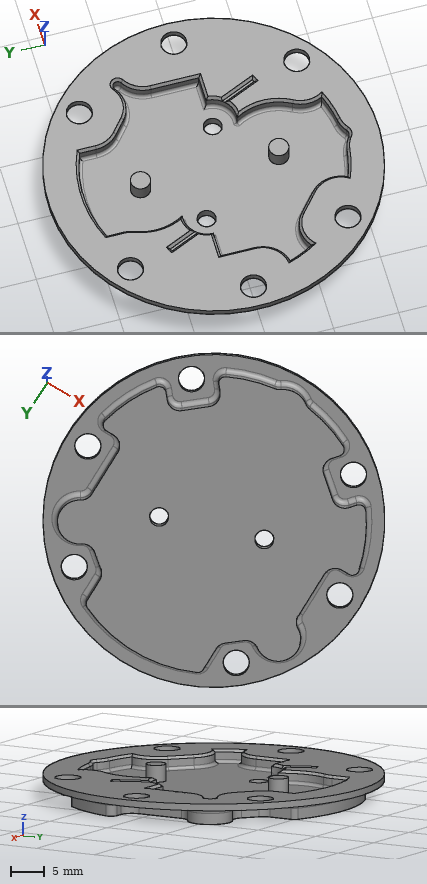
import cadquery as cq
import math

FLANGE_DIAMETER = 50.5
FLANGE_THICKNESS = 1.0
BODY_HEIGHT = 2.45
POCKET_DEPTH = 2.0
POST_RISE = 0.5
FLOOR_OVERLAP = 0.5

RIM_CHAMFER = 0.4
FLOOR_FILLET = 0.5
BODY_FILLET = 0.8
BODY_CORNER_RADIUS = 1.0
WALL = 2.65

BOLT_CIRCLE_RADIUS = 21.75
BOLT_HOLE_DIAMETER = 3.85
BOLT_ANGLE = 50.0
BOLT_ANGLES = [0, BOLT_ANGLE, 180 - BOLT_ANGLE, 180, 180 + BOLT_ANGLE, 360 - BOLT_ANGLE]

PUMP_CENTRE_Y = 0.6
POST_SPACING = 21.2
POST_DIAMETER = 3.0
PORT_OFFSET_X = 7.5
PORT_OFFSET_Y = 2.6
PORT_DIAMETER = 2.8
PORT_POCKET_RADIUS = 3.65

POCKET_RADIUS = 19.9
COVE_RADIUS = 4.55
COVE_HALF_WIDTH = 6.55
NECK_HALF_WIDTH = 7.4
UPPER_COVE_X = 14.1
UPPER_COVE_Y = 14.2
UPPER_SIDE_Y = 5.35
FINGER_RADIUS = 0.7
NOSE_RADIUS = 1.0
NOSE_Y = -19.75

GROOVE_FLOOR_WIDTH = 0.4
GROOVE_DEPTH = 0.4
GROOVE_ANGLE = 24.0
GROOVE_LENGTH = 7.05
LOWER_GROOVE_END = (12.75, -9.95)
UPPER_GROOVE_END = (-12.4, 10.3)

UPPER_POST = (0, PUMP_CENTRE_Y + POST_SPACING / 2)
LOWER_POST = (0, PUMP_CENTRE_Y - POST_SPACING / 2)
LEFT_PORT = (-PORT_OFFSET_X, PUMP_CENTRE_Y + PORT_OFFSET_Y)
RIGHT_PORT = (PORT_OFFSET_X, PUMP_CENTRE_Y - PORT_OFFSET_Y)


def toward(start, target, distance):
    """Point at the given distance from start in the direction of target."""
    length = math.dist(start, target)
    return tuple(s + (t - s) * distance / length for s, t in zip(start, target))


def circles_meet(centre_a, radius_a, centre_b, radius_b):
    """Crossing of two circles that lies to the left of the direction a -> b."""
    span = math.dist(centre_a, centre_b)
    along = (span**2 + radius_a**2 - radius_b**2) / (2 * span)
    aside = math.sqrt(radius_a**2 - along**2)
    ux = (centre_b[0] - centre_a[0]) / span
    uy = (centre_b[1] - centre_a[1]) / span
    return (centre_a[0] + along * ux - aside * uy, centre_a[1] + along * uy + aside * ux)


def backward(path):
    return [(kind, end, start, centre) for kind, start, end, centre in reversed(path)]


def mirrored(path):
    """Path mirrored in the YZ plane and walked backward."""
    flipped = []
    for kind, *points in backward(path):
        flipped.append((kind, *[(-x, y) for x, y in points]))
    return flipped


def line(start, end):
    return ("line", start, end, (0, 0))


def arc(start, end, centre):
    """Arc of less than half a turn about centre."""
    return ("arc", start, end, centre)


def closed_outline(path, z):
    outline = cq.Workplane("XY").workplane(offset=z).moveTo(*path[0][1])
    for kind, start, end, centre in path:
        if kind == "line":
            outline = outline.lineTo(*end)
        else:
            chord_middle = ((start[0] + end[0]) / 2, (start[1] + end[1]) / 2)
            outline = outline.threePointArc(toward(centre, chord_middle, math.dist(centre, start)), end)
    return outline.close()


COVE_INSET = COVE_HALF_WIDTH - COVE_RADIUS
SIDE_WALL_X = BOLT_CIRCLE_RADIUS - COVE_HALF_WIDTH
SIDE_CENTRE_X = SIDE_WALL_X + COVE_RADIUS

UPPER_COVE_CENTRE = (UPPER_COVE_X, UPPER_COVE_Y)
UPPER_SIDE_CENTRE = (SIDE_CENTRE_X, UPPER_SIDE_Y)
FINGER_CENTRE = circles_meet(
    UPPER_COVE_CENTRE, COVE_RADIUS + FINGER_RADIUS, UPPER_SIDE_CENTRE, COVE_RADIUS + FINGER_RADIUS
)


def bolt_frame(angle, radial, sideways):
    """Point set out from the ray through a bolt hole; sideways is counterclockwise from that ray."""
    cos_angle = math.cos(math.radians(angle))
    sin_angle = math.sin(math.radians(angle))
    return (radial * cos_angle - sideways * sin_angle, radial * sin_angle + sideways * cos_angle)


COVE_CENTRE_RADIAL = BOLT_CIRCLE_RADIUS - COVE_INSET
LOWER_NECK_CENTRE = bolt_frame(-BOLT_ANGLE, COVE_CENTRE_RADIAL, -COVE_INSET)

CHAMBER_RADIUS = math.dist(LOWER_NECK_CENTRE, LOWER_POST) - COVE_RADIUS
NECK_CENTRE_X = NECK_HALF_WIDTH + COVE_RADIUS
NECK_CENTRE = (
    NECK_CENTRE_X,
    UPPER_POST[1] + math.sqrt((CHAMBER_RADIUS + COVE_RADIUS) ** 2 - NECK_CENTRE_X**2),
)


def top_corner(offset):
    x = NECK_HALF_WIDTH + offset
    return (x, math.sqrt((POCKET_RADIUS + offset) ** 2 - x**2))


def cove_flank(offset, angle, side):
    """From the floor of a bolt cove out to the outline circle; side +1 is counterclockwise of the bolt."""
    radius = COVE_RADIUS - offset
    rim_radius = POCKET_RADIUS + offset
    centre = bolt_frame(angle, COVE_CENTRE_RADIAL, side * COVE_INSET)
    floor_end = bolt_frame(angle, COVE_CENTRE_RADIAL - radius, side * COVE_INSET)
    half_width = COVE_INSET + radius
    corner_radial = math.sqrt(rim_radius**2 - half_width**2)
    if corner_radial < COVE_CENTRE_RADIAL:
        crossing = circles_meet((0, 0), rim_radius, (COVE_CENTRE_RADIAL, COVE_INSET), radius)
        return [arc(floor_end, bolt_frame(angle, crossing[0], side * crossing[1]), centre)]
    flank_start = bolt_frame(angle, COVE_CENTRE_RADIAL, side * half_width)
    corner = bolt_frame(angle, corner_radial, side * half_width)
    return [arc(floor_end, flank_start, centre), line(flank_start, corner)]


def upper_neck(offset):
    """From the top corner down the neck wall to the tangent line under the upper bolt hole."""
    radius = COVE_RADIUS - offset
    neck_wall_end = (NECK_CENTRE[0] - radius, NECK_CENTRE[1])
    run = math.dist(NECK_CENTRE, UPPER_COVE_CENTRE)
    nx = (UPPER_COVE_CENTRE[1] - NECK_CENTRE[1]) / run
    ny = -(UPPER_COVE_CENTRE[0] - NECK_CENTRE[0]) / run
    slope_start = (NECK_CENTRE[0] + radius * nx, NECK_CENTRE[1] + radius * ny)
    slope_end = (UPPER_COVE_CENTRE[0] + radius * nx, UPPER_COVE_CENTRE[1] + radius * ny)
    return [
        line(top_corner(offset), neck_wall_end),
        arc(neck_wall_end, slope_start, NECK_CENTRE),
        line(slope_start, slope_end),
    ]


def finger(offset):
    """From the upper cove round the finger tip to the top of the side wall."""
    radius = COVE_RADIUS - offset
    tip_radius = FINGER_RADIUS + offset
    slope_end = upper_neck(offset)[-1][2]
    tip_start = toward(FINGER_CENTRE, UPPER_COVE_CENTRE, tip_radius)
    tip_end = toward(FINGER_CENTRE, UPPER_SIDE_CENTRE, tip_radius)
    valley = tuple((a + b) / 2 for a, b in zip(UPPER_COVE_CENTRE, UPPER_SIDE_CENTRE))
    tip = toward(FINGER_CENTRE, valley, -tip_radius)
    return [
        arc(slope_end, tip_start, UPPER_COVE_CENTRE),
        arc(tip_start, tip, FINGER_CENTRE),
        arc(tip, tip_end, FINGER_CENTRE),
        arc(tip_end, (UPPER_SIDE_CENTRE[0] - radius, UPPER_SIDE_CENTRE[1]), UPPER_SIDE_CENTRE),
    ]


def lower_side(offset):
    """From the side wall round the side cove, the lobe and the lower cove, to the lower neck arc."""
    side_flank = cove_flank(offset, 0, -1)
    lobe_flank = backward(cove_flank(offset, -BOLT_ANGLE, 1))
    neck_flank = cove_flank(offset, -BOLT_ANGLE, -1)
    lobe = [arc(side_flank[-1][2], lobe_flank[0][1], (0, 0))]
    return side_flank + lobe + lobe_flank + [line(lobe_flank[-1][2], neck_flank[0][1])]


def lower_neck(offset, start):
    """From start on the lower neck arc to the bottom corner, then along the bottom to the nose."""
    flank = cove_flank(offset, -BOLT_ANGLE, -1)
    flank[0] = arc(start, flank[0][2], LOWER_NECK_CENTRE)
    nose_centre = (0, NOSE_Y)
    blend_centre = circles_meet(
        (0, 0), POCKET_RADIUS + COVE_RADIUS, nose_centre, NOSE_RADIUS + COVE_RADIUS
    )
    blend_start = toward((0, 0), blend_centre, POCKET_RADIUS + offset)
    nose_start = toward(nose_centre, blend_centre, NOSE_RADIUS + offset)
    return flank + [
        arc(flank[-1][2], blend_start, (0, 0)),
        arc(blend_start, nose_start, blend_centre),
        arc(nose_start, (0, NOSE_Y - NOSE_RADIUS - offset), nose_centre),
    ]


def top_edge(offset):
    start, end = (0, POCKET_RADIUS + offset), top_corner(offset)
    return [arc(start, end, (0, 0))]


def body_outline():
    """Outside of the body: symmetric about the YZ plane."""
    half = top_edge(WALL) + upper_neck(WALL) + finger(WALL)
    lower = lower_side(WALL)
    half.append(line(half[-1][2], lower[0][1]))
    half += lower + lower_neck(WALL, lower[-1][2])
    return half + mirrored(half)


def port_and_chamber(offset, port, post, wall_end, chamber_end):
    """From the end of a side wall along the ledge, round the port and along the gear chamber."""
    side = math.copysign(1, port[0])
    port_radius = PORT_POCKET_RADIUS + offset
    ledge_y = port[1] - side * offset
    wall_corner = (wall_end[0], ledge_y)
    ledge_end = (port[0] + side * math.sqrt(port_radius**2 - offset**2), ledge_y)
    cusp = circles_meet(port, port_radius, post, CHAMBER_RADIUS + offset)
    return [
        line(wall_end, wall_corner),
        line(wall_corner, ledge_end),
        arc(ledge_end, cusp, port),
        arc(cusp, chamber_end, post),
    ]


def pocket_outline(offset):
    """Inside of the pocket: upper right finger, lower left lobe, gear chambers on the other two sides."""
    cove_radius = COVE_RADIUS - offset
    top = top_edge(offset)
    path = top + upper_neck(offset) + finger(offset)
    lower_chamber_end = toward(LOWER_NECK_CENTRE, LOWER_POST, cove_radius)
    path += port_and_chamber(offset, RIGHT_PORT, LOWER_POST, path[-1][2], lower_chamber_end)
    path += lower_neck(offset, lower_chamber_end)

    lobe = lower_side(offset)
    path += mirrored(lobe + lower_neck(offset, lobe[-1][2]))
    left_neck_centre = (-NECK_CENTRE[0], NECK_CENTRE[1])
    upper_chamber_end = toward(left_neck_centre, UPPER_POST, cove_radius)
    path += port_and_chamber(offset, LEFT_PORT, UPPER_POST, path[-1][2], upper_chamber_end)
    neck_wall_end = (left_neck_centre[0] + cove_radius, left_neck_centre[1])
    path += [
        arc(upper_chamber_end, neck_wall_end, left_neck_centre),
        line(neck_wall_end, mirrored(top)[0][1]),
    ]
    return path + mirrored(top)


def flange():
    return cq.Workplane("XY").circle(FLANGE_DIAMETER / 2).extrude(-FLANGE_THICKNESS)


def body():
    """Block under the flange with rounded outer corners."""
    block = closed_outline(body_outline(), -FLANGE_THICKNESS).extrude(-BODY_HEIGHT)
    corners = [top_corner(WALL)]
    for angle, side in ((0, -1), (-BOLT_ANGLE, 1), (-BOLT_ANGLE, -1)):
        corners.append(cove_flank(WALL, angle, side)[-1][2])
    mid_height = -FLANGE_THICKNESS - BODY_HEIGHT / 2
    for x, y in corners:
        for corner_x in (x, -x):
            edge = cq.selectors.NearestToPointSelector((corner_x, y, mid_height))
            block = block.edges("|Z").edges(edge).fillet(BODY_CORNER_RADIUS)
    return block


def flange_with_body():
    """Flange and body joined by a fillet all round the body."""
    joined = flange().union(body())
    underside = joined.faces("<Z[1]")
    junction = underside.val().innerWires()[0]
    return joined.newObject(junction.Edges()).fillet(BODY_FILLET)


def pocket():
    """Cavity with a rounded floor edge and a chamfered rim."""
    cavity = closed_outline(pocket_outline(0), -POCKET_DEPTH).extrude(POCKET_DEPTH)
    cavity = cavity.faces("<Z").edges().fillet(FLOOR_FILLET)
    rim = closed_outline(pocket_outline(RIM_CHAMFER), -RIM_CHAMFER).extrude(2 * RIM_CHAMFER)
    return cavity.union(rim.faces("<Z").chamfer(RIM_CHAMFER))


def groove(end, heading):
    """Groove with 45 degree sides that stops at end; heading is its direction from the +X axis in degrees."""
    width = GROOVE_FLOOR_WIDTH + 2 * GROOVE_DEPTH
    return (
        cq.Workplane("XY")
        .box(GROOVE_LENGTH, width, 2 * GROOVE_DEPTH)
        .faces("<Z")
        .chamfer(GROOVE_DEPTH)
        .translate((-GROOVE_LENGTH / 2, 0, 0))
        .rotate((0, 0, 0), (0, 0, 1), heading)
        .translate((*end, 0))
    )


def posts():
    return (
        cq.Workplane("XY")
        .workplane(offset=-POCKET_DEPTH - FLOOR_OVERLAP)
        .pushPoints([UPPER_POST, LOWER_POST])
        .circle(POST_DIAMETER / 2)
        .extrude(FLOOR_OVERLAP + POCKET_DEPTH + POST_RISE)
    )


def through_holes(centres, diameter):
    depth = FLANGE_THICKNESS + BODY_HEIGHT
    return cq.Workplane("XY").pushPoints(centres).circle(diameter / 2).extrude(-depth)


bolt_holes = [bolt_frame(angle, BOLT_CIRCLE_RADIUS, 0) for angle in BOLT_ANGLES]

result = (
    flange_with_body()
    .cut(pocket())
    .cut(groove(LOWER_GROOVE_END, GROOVE_ANGLE - 90))
    .cut(groove(UPPER_GROOVE_END, GROOVE_ANGLE + 90))
    .union(posts())
    .cut(through_holes(bolt_holes, BOLT_HOLE_DIAMETER))
    .cut(through_holes([LEFT_PORT, RIGHT_PORT], PORT_DIAMETER))
)